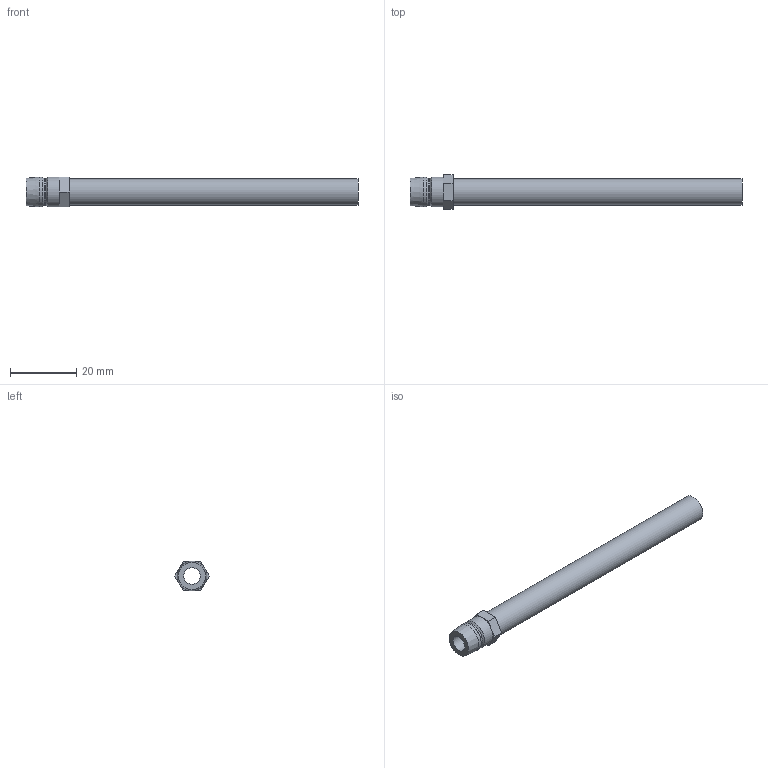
import cadquery as cq
import math

total_length = 100.0
bore_diameter = 5.0
tube_diameter = 8.0
collar_diameter = 9.0
nose_diameter = collar_diameter
groove_diameter = tube_diameter

nose_taper_end = 4.0
nose_end = 5.0
groove_start = 5.5
groove_end = 6.0
collar_start = 6.5
hex_start = 10.0
hex_end = 13.0

nose_half_angle = math.radians(5)
nose_tip_diameter = nose_diameter - 2 * nose_taper_end * math.tan(nose_half_angle)

hex_across_flats = collar_diameter
hex_across_corners = hex_across_flats / math.cos(math.pi / 6)


def make_turned_body():
    """Nose, sealing groove, collar and tube, revolved about the X axis."""
    profile = (
        cq.Workplane("XZ")
        .moveTo(0, 0)
        .lineTo(0, nose_tip_diameter / 2)
        .lineTo(nose_taper_end, nose_diameter / 2)
        .lineTo(nose_end, nose_diameter / 2)
        .lineTo(groove_start, groove_diameter / 2)
        .lineTo(groove_end, groove_diameter / 2)
        .lineTo(collar_start, collar_diameter / 2)
        .lineTo(hex_end, collar_diameter / 2)
        .lineTo(hex_end, tube_diameter / 2)
        .lineTo(total_length, tube_diameter / 2)
        .lineTo(total_length, 0)
        .close()
    )
    return profile.revolve(360, (0, 0, 0), (1, 0, 0))


def make_hexagon():
    """Wrench hexagon with its corners on the Y axis."""
    return (
        cq.Workplane("YZ", origin=(hex_start, 0, 0))
        .polygon(6, hex_across_corners)
        .extrude(hex_end - hex_start)
    )


def make_bore():
    """Through bore along the full length."""
    return cq.Workplane("YZ").circle(bore_diameter / 2).extrude(total_length)


result = make_turned_body().union(make_hexagon()).cut(make_bore())